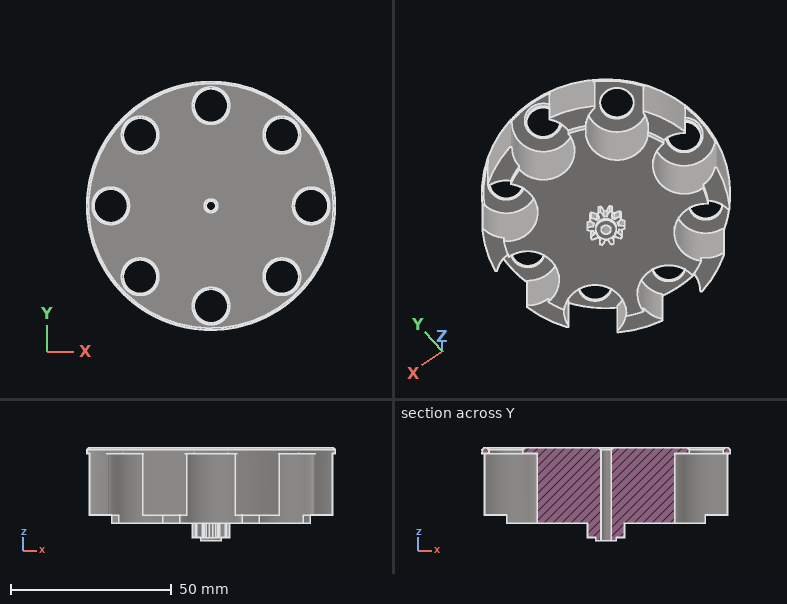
import cadquery as cq
import math

total_height = 29.05
flange_thickness = 1.85
flange_underside = total_height - flange_thickness
drum_underside = 8.05
hub_underside = 5.5
gear_underside = 1.1

drum_radius = 38.7
hub_radius = 32.45
edge_chamfer = 0.6

station_count = 8
station_circle_radius = 31.2
pocket_radius = 9.75
pocket_lip_fillet = 0.4
station_hole_diameter = 10.45

bore_diameter = 3.0

tooth_count = 10
gear_tip_radius = 5.8
gear_mid_radius = 4.9
gear_root_radius = 4.0
tip_half_angle = 3.5
mid_half_angle = 8.3
root_half_angle = 10.5
stub_radius = 3.25


def cylinder(radius, bottom, top):
    return cq.Workplane("XY").workplane(offset=bottom).circle(radius).extrude(top - bottom)


def polar_point(radius, degrees):
    angle = math.radians(degrees)
    return (radius * math.cos(angle), radius * math.sin(angle))


def make_flange():
    flange = cylinder(drum_radius, flange_underside, total_height)
    return flange.faces(">Z").edges().chamfer(edge_chamfer)


def make_pockets():
    plane = cq.Workplane("XY").workplane(offset=hub_underside)
    centers = plane.polarArray(station_circle_radius, 0, 360, station_count)
    return centers.circle(pocket_radius).extrude(flange_underside - hub_underside)


def make_drum(pockets):
    """Drum opened by the pockets, with the sharp lips at its rim rounded."""
    drum = cylinder(drum_radius, drum_underside, flange_underside).cut(pockets)
    return drum.edges("|Z").fillet(pocket_lip_fillet)


def make_hub(pockets):
    return cylinder(hub_radius, hub_underside, drum_underside).cut(pockets)


def make_gear():
    """Spur gear with a tooth on the +X axis, bulging flanks and round tips and roots."""
    pitch_angle = 360 / tooth_count
    outline = cq.Workplane("XY").workplane(offset=gear_underside)
    outline = outline.moveTo(*polar_point(gear_root_radius, -root_half_angle))
    for tooth in range(tooth_count):
        center = tooth * pitch_angle
        outline = (
            outline
            .threePointArc(
                polar_point(gear_mid_radius, center - mid_half_angle),
                polar_point(gear_tip_radius, center - tip_half_angle),
            )
            .threePointArc(
                polar_point(gear_tip_radius, center),
                polar_point(gear_tip_radius, center + tip_half_angle),
            )
            .threePointArc(
                polar_point(gear_mid_radius, center + mid_half_angle),
                polar_point(gear_root_radius, center + root_half_angle),
            )
            .threePointArc(
                polar_point(gear_root_radius, center + pitch_angle / 2),
                polar_point(gear_root_radius, center + pitch_angle - root_half_angle),
            )
        )
    return outline.close().extrude(hub_underside - gear_underside)


def countersunk_hole(diameter, bottom):
    """Cutter for a hole from the given height to the top face, with a chamfered mouth."""
    radius = diameter / 2
    straight = cylinder(radius, bottom, total_height)
    mouth = cq.Workplane("XY").add(
        cq.Solid.makeCone(
            radius,
            radius + edge_chamfer,
            edge_chamfer,
            pnt=cq.Vector(0, 0, total_height - edge_chamfer),
        )
    )
    return straight.union(mouth)


pockets = make_pockets()
result = (
    make_flange()
    .union(make_drum(pockets))
    .union(make_hub(pockets))
    .union(make_gear())
    .union(cylinder(stub_radius, 0, gear_underside))
    .cut(countersunk_hole(bore_diameter, 0))
)

station_hole = countersunk_hole(station_hole_diameter, drum_underside)
for station in range(station_count):
    offset = polar_point(station_circle_radius, station * 360 / station_count)
    result = result.cut(station_hole.translate((*offset, 0)))